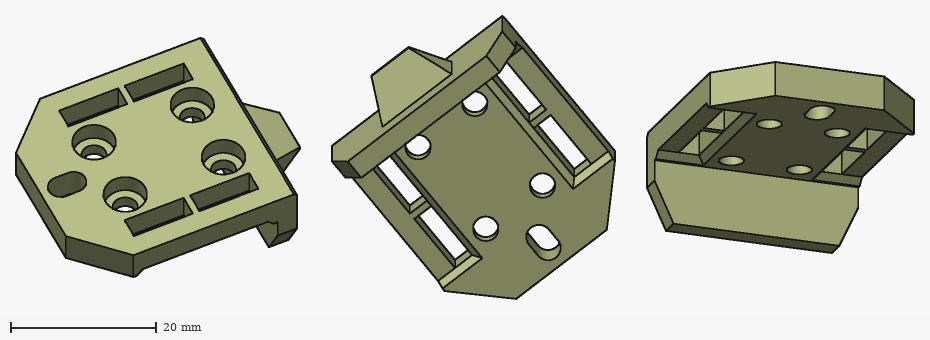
import cadquery as cq
import math


width = 30.0
plate_length = 32.0
plate_thickness = 5.0
corner_chamfer = 7.0
rear_edge_chamfer = 0.5

taper_angle = 25.0

wall_thickness = 3.0
wall_height = 14.0
wall_taper_height = 6.0
wall_taper_inset = wall_taper_height * math.tan(math.radians(taper_angle))

tongue_length = 6.0
tongue_width = 12.2
tongue_height = 6.0
tongue_center_z = -7.0
tongue_inset = tongue_length * math.tan(math.radians(taper_angle))
tongue_tip_width = tongue_width - 2 * tongue_inset
tongue_tip_height = tongue_height - 2 * tongue_inset

screw_pitch_x = 10.0
screw_pitch_y = 15.0
screw_center_y = -14.0
screw_diameter = 3.5
counterbore_diameter = 6.0
counterbore_depth = 3.0

adjust_slot_width = 3.5
adjust_slot_length = 5.5
adjust_slot_y = -28.0

strap_slot_width = 3.0
strap_slot_length = 9.0
strap_slot_gap = 1.0
strap_slot_edge_distance = 3.0
strap_slot_x = width / 2 - strap_slot_edge_distance - strap_slot_width / 2
strap_slot_pitch = strap_slot_length + strap_slot_gap
strap_center_y = screw_center_y

recess_depth = 1.0
recess_length = 2 * strap_slot_length + strap_slot_gap
recess_width = strap_slot_edge_distance + strap_slot_width


def make_plate():
    return (
        cq.Workplane("XY")
        .box(width, plate_length, plate_thickness, centered=(True, False, False))
        .translate((0, -plate_length, -plate_thickness))
        .edges("|Z and <Y")
        .chamfer(corner_chamfer)
    )


def make_wall():
    return (
        cq.Workplane("XY")
        .box(width, wall_thickness, wall_height, centered=(True, False, False))
        .translate((0, -wall_thickness, -wall_height))
        .edges("|Y and <Z")
        .chamfer(wall_taper_height, wall_taper_inset)
    )


def make_tongue():
    return (
        cq.Workplane("XZ")
        .center(0, tongue_center_z)
        .rect(tongue_width, tongue_height)
        .workplane(offset=-tongue_length)
        .rect(tongue_tip_width, tongue_tip_height)
        .loft(combine=True)
    )


def cut_screw_holes(body):
    return (
        body.faces(">Z")
        .workplane(origin=(0, screw_center_y, 0))
        .rect(screw_pitch_x, screw_pitch_y, forConstruction=True)
        .vertices()
        .cboreHole(screw_diameter, counterbore_diameter, counterbore_depth)
    )


def make_adjust_slot():
    return (
        cq.Workplane("XY")
        .center(0, adjust_slot_y)
        .slot2D(adjust_slot_length, adjust_slot_width, 90)
        .extrude(-plate_thickness)
    )


def make_strap_slots():
    return (
        cq.Workplane("XY")
        .center(0, strap_center_y)
        .rect(2 * strap_slot_x, strap_slot_pitch, forConstruction=True)
        .vertices()
        .rect(strap_slot_width, strap_slot_length)
        .extrude(-plate_thickness)
    )


def make_strap_recess(side):
    return (
        cq.Workplane("XY", origin=(side * width / 2, strap_center_y, -plate_thickness))
        .rect(2 * (recess_width + recess_depth), recess_length + 2 * recess_depth)
        .workplane(offset=recess_depth)
        .rect(2 * recess_width, recess_length)
        .loft(combine=True)
    )


body = make_plate().union(make_wall())
body = body.edges("|X and >Y and >Z").chamfer(rear_edge_chamfer)
body = cut_screw_holes(body)
body = body.cut(make_adjust_slot()).cut(make_strap_slots())
for side in (-1, 1):
    body = body.cut(make_strap_recess(side))

result = body.union(make_tongue())